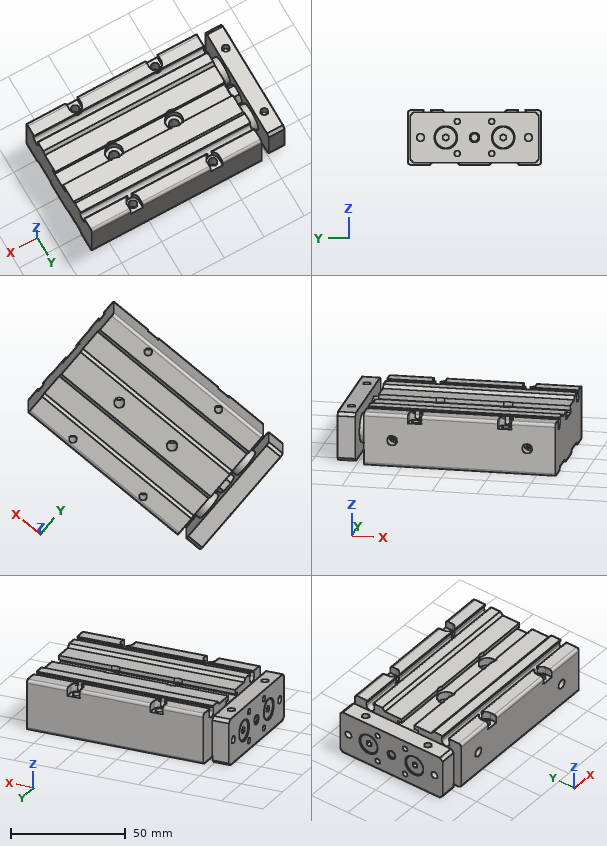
import cadquery as cq
import math

plate_thickness = 8.0
gap = 4.0
housing_length = 85.0
housing_start = plate_thickness + gap
housing_width = 58.0
housing_height = 24.0
mid_height = housing_height / 2
housing_edge_radius = 1.4

recess_half_width = 14.0
recess_depth = 1.5
channel_width = 7.0
channel_depth = 5.0
channel_lip_thickness = 2.0
channel_undercut_width = 11.0
slot_offset = 20.55
slot_neck_width = 3.2
slot_lip_edge_thickness = 0.65
slot_lip_root_thickness = 1.0
slot_bore_diameter = 4.2
slot_bore_depth = 2.65

groove_inner = 6.5
groove_outer = 19.5
groove_depth = 1.5

centre_hole_diameter = 4.5
centre_counterbore_diameter = 8.0
centre_counterbore_depth = 4.0
centre_hole_first = 27.5
centre_hole_pitch = 30.0

mount_hole_first = 22.5
mount_hole_pitch = 40.0
mount_hole_offset = 25.5
mount_hole_diameter = 3.3
mount_thread_diameter = 3.8
mount_thread_depth = 8.0
pocket_width = 6.0
pocket_depth = 3.75
lip_notch_width = 2.0

port_first = 12.5
port_pitch = 60.0
port_diameter = 4.3
port_depth = 5.0
port_passage_diameter = 2.5
port_passage_depth = 7.0

plate_width = 56.0
plate_height = 22.0
plate_chamfer = 1.5
plate_hole_diameter = 3.3
plate_hole_depth = 5.0
plate_top_hole_offset = 17.0
plate_face_hole_offset = 23.5
small_hole_diameter = 2.5
small_hole_depth = 5.0
small_hole_offset_y = 7.5
small_hole_offset_z = 7.0

rod_offset = 12.5
rod_diameter = 13.0
screw_recess_diameter = 10.0
screw_recess_depth = 0.4
socket_across_flats = 2.5
socket_depth = 2.5
piston_rod_diameter = 5.0
piston_recess_diameter = 4.3
piston_recess_depth = 0.5
nut_across_flats = 8.2
nut_thickness = 3.6


def housing_point(x, y, z):
    """Point in the housing, with x measured from its front face."""
    return cq.Vector(housing_start + x, y, z)


def cylinder(diameter, length, start, direction):
    return cq.Workplane(cq.Solid.makeCylinder(diameter / 2, length, start, direction))


def long_prism(points):
    """Prism along the whole housing with a cross-section of (y, z) points."""
    return cq.Workplane("YZ", origin=(housing_start, 0, 0)).polyline(points).close().extrude(housing_length)


def long_box(y, width, bottom, top):
    """Box along the whole housing, centred on y."""
    half = width / 2
    return long_prism([(y - half, bottom), (y + half, bottom), (y + half, top), (y - half, top)])


def top_recess():
    floor = housing_height - recess_depth
    floor_half_width = recess_half_width - recess_depth
    return long_prism([
        (-recess_half_width, housing_height),
        (-floor_half_width, floor),
        (floor_half_width, floor),
        (recess_half_width, housing_height),
    ])


def centre_channel():
    floor = housing_height - channel_depth
    lip_bottom = housing_height - recess_depth - channel_lip_thickness
    opening = long_box(0, channel_width, floor, housing_height)
    return opening.union(long_box(0, channel_undercut_width, floor, lip_bottom))


def bottom_groove(side):
    return long_prism([
        (side * groove_inner, 0),
        (side * (groove_inner + groove_depth), groove_depth),
        (side * (groove_outer - groove_depth), groove_depth),
        (side * groove_outer, 0),
    ])


def sensor_slot(side):
    """Slot with a narrow neck, lips with sloping undersides and a round bottom."""
    y = side * slot_offset
    z = housing_height - slot_bore_depth
    neck = long_box(y, slot_neck_width, z, housing_height)
    half_neck = slot_neck_width / 2
    half_bore = slot_bore_diameter / 2
    lip_edge = housing_height - slot_lip_edge_thickness
    lip_root = housing_height - slot_lip_root_thickness
    undercut = long_prism([
        (y - half_bore, z),
        (y + half_bore, z),
        (y + half_bore, lip_root),
        (y + half_neck, lip_edge),
        (y - half_neck, lip_edge),
        (y - half_bore, lip_root),
    ])
    bore = cylinder(slot_bore_diameter, housing_length, housing_point(0, y, z), cq.Vector(1, 0, 0))
    return neck.union(undercut).union(bore)


def centre_hole(x):
    up = cq.Vector(0, 0, 1)
    counterbore_floor = housing_height - channel_depth - centre_counterbore_depth
    hole = cylinder(centre_hole_diameter, housing_height, housing_point(x, 0, 0), up)
    counterbore = cylinder(
        centre_counterbore_diameter,
        housing_height - counterbore_floor,
        housing_point(x, 0, counterbore_floor),
        up,
    )
    return hole.union(counterbore)


def mount_hole(x, side):
    up = cq.Vector(0, 0, 1)
    floor = housing_height - pocket_depth
    y = side * mount_hole_offset
    edge_length = housing_width / 2 - mount_hole_offset
    hole = cylinder(mount_hole_diameter, housing_height, housing_point(x, y, 0), up)
    thread = cylinder(
        mount_thread_diameter, mount_thread_depth, housing_point(x, y, floor - mount_thread_depth), up
    )
    pocket_end = cylinder(pocket_width, pocket_depth, housing_point(x, y, floor), up)
    pocket_mouth = cq.Workplane("XY").box(
        pocket_width, edge_length, pocket_depth, centered=(True, True, False)
    ).translate(housing_point(x, y + side * edge_length / 2, floor))
    pocket = pocket_end.union(pocket_mouth)

    notch_length = mount_hole_offset - slot_offset
    notch = cq.Workplane("XY").box(
        lip_notch_width, notch_length, slot_lip_root_thickness, centered=(True, True, False)
    ).translate(housing_point(x, y - side * notch_length / 2, housing_height - slot_lip_root_thickness))
    return hole.union(thread).union(pocket).union(notch)


def air_port(x):
    inward = cq.Vector(0, 1, 0)
    start = housing_point(x, -housing_width / 2, mid_height)
    port = cylinder(port_diameter, port_depth, start, inward)
    return port.union(cylinder(port_passage_diameter, port_passage_depth, start, inward))


def make_housing():
    body = cq.Workplane("XY").box(
        housing_length, housing_width, housing_height, centered=(False, True, False)
    ).translate((housing_start, 0, 0))
    body = body.edges("|X").fillet(housing_edge_radius)
    body = body.cut(top_recess()).cut(centre_channel())
    for side in (-1, 1):
        body = body.cut(bottom_groove(side)).cut(sensor_slot(side))
    for i in range(2):
        body = body.cut(centre_hole(centre_hole_first + i * centre_hole_pitch))
        body = body.cut(air_port(port_first + i * port_pitch))
        for side in (-1, 1):
            body = body.cut(mount_hole(mount_hole_first + i * mount_hole_pitch, side))
    return body


def conical_recess(y, diameter, depth):
    """Shallow recess in the outer face of the plate with a 45 degree wall."""
    radius = diameter / 2
    return cq.Workplane(cq.Solid.makeCone(
        radius, radius - depth, depth, cq.Vector(0, y, mid_height), cq.Vector(1, 0, 0)
    ))


def hexagon_prism(across_flats, length, start_x, y, turn):
    """Hexagon along X; a turn of 0 points its corners along Y, 90 along Z."""
    corner_diameter = across_flats / math.cos(math.pi / 6)
    prism = cq.Workplane("YZ").polygon(6, corner_diameter).extrude(length)
    return prism.rotate((0, 0, 0), (1, 0, 0), turn).translate((start_x, y, mid_height))


def face_hole(y, z, diameter, depth):
    return cylinder(diameter, depth, cq.Vector(0, y, z), cq.Vector(1, 0, 0))


def make_rod_assembly():
    """End plate in one piece with the piston rod, its nut and the two guide rods."""
    along = cq.Vector(1, 0, 0)
    plate_top = mid_height + plate_height / 2
    body = cq.Workplane("XY").box(
        plate_thickness, plate_width, plate_height, centered=(False, True, True)
    ).translate((0, 0, mid_height))
    body = body.edges("|X").chamfer(plate_chamfer)

    body = body.union(
        cylinder(piston_rod_diameter, gap, cq.Vector(plate_thickness, 0, mid_height), along)
    )
    body = body.union(hexagon_prism(nut_across_flats, nut_thickness, plate_thickness, y=0, turn=0))
    for side in (-1, 1):
        rod_start = cq.Vector(plate_thickness, side * rod_offset, mid_height)
        body = body.union(cylinder(rod_diameter, gap, rod_start, along))

    body = body.cut(conical_recess(0, piston_recess_diameter, piston_recess_depth))
    for side in (-1, 1):
        y = side * rod_offset
        body = body.cut(conical_recess(y, screw_recess_diameter, screw_recess_depth))
        socket_length = screw_recess_depth + socket_depth
        body = body.cut(hexagon_prism(socket_across_flats, socket_length, start_x=0, y=y, turn=90))
        face_hole_y = side * plate_face_hole_offset
        body = body.cut(face_hole(face_hole_y, mid_height, plate_hole_diameter, plate_hole_depth))
        for level in (-1, 1):
            z = mid_height + level * small_hole_offset_z
            body = body.cut(face_hole(side * small_hole_offset_y, z, small_hole_diameter, small_hole_depth))
        top_start = cq.Vector(plate_thickness / 2, side * plate_top_hole_offset, plate_top)
        body = body.cut(cylinder(plate_hole_diameter, plate_hole_depth, top_start, cq.Vector(0, 0, -1)))
    return body


housing = make_housing()
rod_assembly = make_rod_assembly()

result = cq.Compound.makeCompound([housing.val(), rod_assembly.val()])